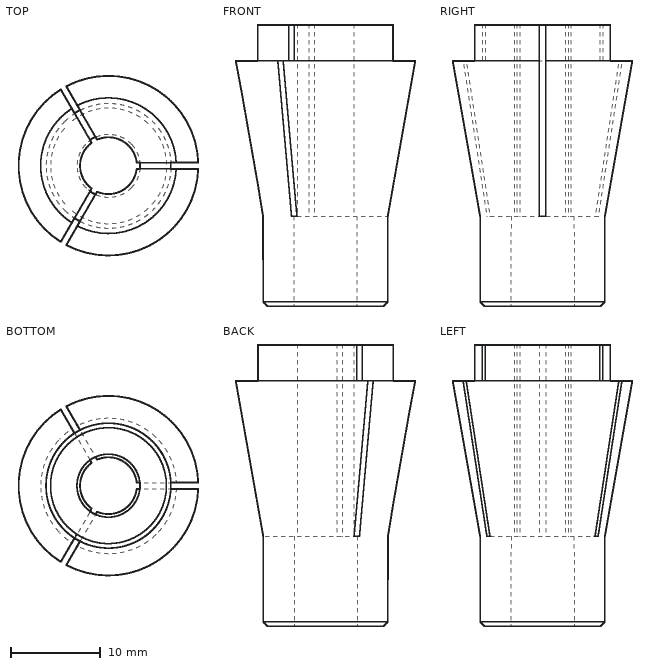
import cadquery as cq

total_height = 31.3
shank_height = 10.02
collar_height = 4.0
shank_diameter = 13.9
cone_top_diameter = 20.0
collar_diameter = 15.1
grip_bore_diameter = 6.3
relief_bore_diameter = 7.0
shank_chamfer = 0.5
slot_width = 0.7
slot_count = 3

shoulder_z = total_height - collar_height
slot_floor_z = shank_height


def collet_body():
    """Revolve the solid outer profile about Z."""
    shank_radius = shank_diameter / 2
    profile = [
        (0, 0),
        (shank_radius - shank_chamfer, 0),
        (shank_radius, shank_chamfer),
        (shank_radius, shank_height),
        (cone_top_diameter / 2, shoulder_z),
        (collar_diameter / 2, shoulder_z),
        (collar_diameter / 2, total_height),
        (0, total_height),
    ]
    return cq.Workplane("XZ").polyline(profile).close().revolve(360, (0, 0), (0, 1))


def stepped_bore():
    """Gripping bore through the full height, relieved inside the shank."""
    grip = cq.Workplane("XY").circle(grip_bore_diameter / 2).extrude(total_height)
    relief = cq.Workplane("XY").circle(relief_bore_diameter / 2).extrude(slot_floor_z)
    return grip.union(relief)


def radial_slot(angle):
    """Slot from the axis out past the rim, open at the top."""
    return (
        cq.Workplane("XY")
        .box(
            cone_top_diameter,
            slot_width,
            total_height - slot_floor_z,
            centered=(False, True, False),
        )
        .translate((0, 0, slot_floor_z))
        .rotate((0, 0, 0), (0, 0, 1), angle)
    )


result = collet_body().cut(stepped_bore())
for slot_index in range(slot_count):
    result = result.cut(radial_slot(slot_index * 360 / slot_count))